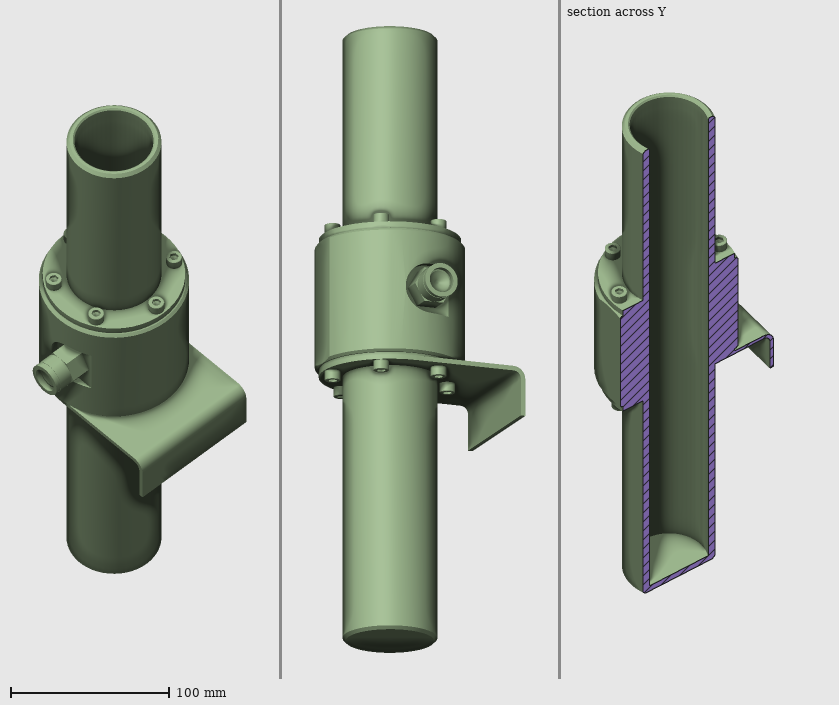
import cadquery as cq
import math

HEXAGON_SIDES = 6

PIPE_DIAMETER = 60.0
PIPE_LENGTH = 395.0
PIPE_CHAMFER = 2.0
BORE_CHAMFER = 1.0
BORE_DIAMETER = 50.0
FLOOR_THICKNESS = (PIPE_DIAMETER - BORE_DIAMETER) / 2

HOUSING_DIAMETER = 95.0
HOUSING_HEIGHT = 81.0
HOUSING_MID_Z = 217.5
HOUSING_CHAMFER = 1.6
HOUSING_FLAT_X = -46.0
FLANGE_DIAMETER = 90.0
FLANGE_THICKNESS = 4.5
HOUSING_BOTTOM_Z = HOUSING_MID_Z - HOUSING_HEIGHT / 2
FLANGE_BOTTOM_Z = HOUSING_BOTTOM_Z - FLANGE_THICKNESS
FLANGE_TOP_Z = HOUSING_MID_Z + HOUSING_HEIGHT / 2 + FLANGE_THICKNESS

SCREW_COUNT = 6
SCREW_CIRCLE_DIAMETER = 78.0
HEAD_DIAMETER = 10.0
HEAD_HEIGHT = 6.0
HEAD_CHAMFER = 0.3
SOCKET_ACROSS_CORNERS = 6.0
SOCKET_DEPTH = 2.0
SOCKET_POINT_DIAMETER = 4.0
SOCKET_POINT_DEPTH = 1.0

BRACKET_THICKNESS = 3.0
BRACKET_WIDTH = FLANGE_DIAMETER
BRACKET_END_X = 74.0
BRACKET_DROP = 32.0
BEND_INNER_RADIUS = 5.0
BRACKET_TOP_Z = FLANGE_BOTTOM_Z + BRACKET_THICKNESS

GLAND_X = 8.0
GLAND_Z = 220.0
SPOT_FACE_DIAMETER = 32.0
SPOT_FACE_Y = -41.5
GLAND_HEX_ACROSS_FLATS = 22.0
GLAND_HEX_ACROSS_CORNERS = GLAND_HEX_ACROSS_FLATS / math.cos(math.pi / HEXAGON_SIDES)
GLAND_HEX_END_Y = -54.67
GLAND_DIAMETER = 22.0
GLAND_END_Y = -67.67
GLAND_GROOVE_Y = GLAND_END_Y + 4.0
GLAND_GROOVE_WIDTH = 2.0
GLAND_GROOVE_DEPTH = 0.3
GLAND_MOUTH_DIAMETER = 16.0
GLAND_MOUTH_DEPTH = 4.0
GLAND_CONE_DIAMETER = 14.0
GLAND_CONE_DEPTH = 4.0


def cylinder(diameter, height, z):
    return cq.Workplane("XY").workplane(offset=z).circle(diameter / 2).extrude(height)


def cone(base_radius, top_radius, height, base, direction):
    return cq.Workplane(
        cq.Solid.makeCone(base_radius, top_radius, height, cq.Vector(*base), cq.Vector(*direction))
    )


def make_pipe():
    pipe = cylinder(PIPE_DIAMETER, PIPE_LENGTH, 0)
    return pipe.faces("<Z or >Z").chamfer(PIPE_CHAMFER)


def make_housing():
    drum = cylinder(HOUSING_DIAMETER, HOUSING_HEIGHT, HOUSING_BOTTOM_Z)
    drum = drum.faces("<Z or >Z").chamfer(HOUSING_CHAMFER)
    flat_cut = (
        cq.Workplane("XY")
        .box(HOUSING_DIAMETER, HOUSING_DIAMETER, PIPE_LENGTH, centered=(False, True, False))
        .translate((HOUSING_FLAT_X - HOUSING_DIAMETER, 0, 0))
    )
    flanges = cylinder(FLANGE_DIAMETER, FLANGE_TOP_Z - BRACKET_TOP_Z, BRACKET_TOP_Z)
    return drum.cut(flat_cut).union(flanges)


def make_bracket():
    """Bent sheet from the pipe axis to +X, rounded on -X by a disc under the flange."""
    outer_radius = BEND_INNER_RADIUS + BRACKET_THICKNESS
    leg_bottom_z = BRACKET_TOP_Z - BRACKET_DROP
    sheet = (
        cq.Workplane("XZ")
        .moveTo(0, BRACKET_TOP_Z)
        .lineTo(BRACKET_END_X - outer_radius, BRACKET_TOP_Z)
        .radiusArc((BRACKET_END_X, BRACKET_TOP_Z - outer_radius), outer_radius)
        .lineTo(BRACKET_END_X, leg_bottom_z)
        .lineTo(BRACKET_END_X - BRACKET_THICKNESS, leg_bottom_z)
        .lineTo(BRACKET_END_X - BRACKET_THICKNESS, BRACKET_TOP_Z - outer_radius)
        .radiusArc((BRACKET_END_X - outer_radius, FLANGE_BOTTOM_Z), -BEND_INNER_RADIUS)
        .lineTo(0, FLANGE_BOTTOM_Z)
        .close()
        .extrude(BRACKET_WIDTH / 2, both=True)
    )
    disc = cylinder(BRACKET_WIDTH, BRACKET_THICKNESS, FLANGE_BOTTOM_Z)
    return sheet.union(disc)


def make_screw_head():
    """Screw head standing on Z = 0 with its hexagon socket on top."""
    head = cylinder(HEAD_DIAMETER, HEAD_HEIGHT, 0).faces(">Z").chamfer(HEAD_CHAMFER)
    socket = (
        cq.Workplane("XY")
        .workplane(offset=HEAD_HEIGHT - SOCKET_DEPTH)
        .polygon(HEXAGON_SIDES, SOCKET_ACROSS_CORNERS)
        .extrude(SOCKET_DEPTH)
    )
    point_z = HEAD_HEIGHT - SOCKET_DEPTH
    point = cone(SOCKET_POINT_DIAMETER / 2, 0, SOCKET_POINT_DEPTH, (0, 0, point_z), (0, 0, -1))
    return head.cut(socket).cut(point)


def add_screws(part):
    upper_head = make_screw_head().translate((SCREW_CIRCLE_DIAMETER / 2, 0, FLANGE_TOP_Z))
    lower_head = upper_head.mirror("XY", (0, 0, (FLANGE_TOP_Z + FLANGE_BOTTOM_Z) / 2))
    for index in range(SCREW_COUNT):
        angle = index * 360 / SCREW_COUNT
        for head in (upper_head, lower_head):
            part = part.union(head.rotate((0, 0, 0), (0, 0, 1), angle))
    return part


def gland_plane(y):
    """Plane across the gland axis at Y = y, facing -Y."""
    return cq.Workplane("XZ", origin=(GLAND_X, y, GLAND_Z))


def cut_spot_face(part):
    """Flat for the gland: half round on -X, running straight out of the drum on +X."""
    round_side = gland_plane(SPOT_FACE_Y).circle(SPOT_FACE_DIAMETER / 2).extrude(HOUSING_DIAMETER)
    open_side = (
        gland_plane(SPOT_FACE_Y)
        .rect(SPOT_FACE_DIAMETER, SPOT_FACE_DIAMETER)
        .extrude(HOUSING_DIAMETER)
        .translate((SPOT_FACE_DIAMETER / 2, 0, 0))
    )
    return part.cut(round_side.union(open_side))


def make_gland():
    nut = (
        gland_plane(SPOT_FACE_Y)
        .polygon(HEXAGON_SIDES, GLAND_HEX_ACROSS_CORNERS)
        .extrude(SPOT_FACE_Y - GLAND_HEX_END_Y)
    )
    cap_length = GLAND_HEX_END_Y - GLAND_END_Y
    cap = gland_plane(GLAND_HEX_END_Y).circle(GLAND_DIAMETER / 2).extrude(cap_length)
    mouth_floor_y = GLAND_END_Y + GLAND_MOUTH_DEPTH
    mouth = gland_plane(mouth_floor_y).circle(GLAND_MOUTH_DIAMETER / 2).extrude(GLAND_MOUTH_DEPTH)
    cone_base = (GLAND_X, mouth_floor_y, GLAND_Z)
    mouth_cone = cone(GLAND_CONE_DIAMETER / 2, 0, GLAND_CONE_DEPTH, cone_base, (0, 1, 0))
    groove = (
        gland_plane(GLAND_GROOVE_Y)
        .circle(GLAND_DIAMETER)
        .circle(GLAND_DIAMETER / 2 - GLAND_GROOVE_DEPTH)
        .extrude(GLAND_GROOVE_WIDTH)
    )
    return nut.union(cap).cut(mouth).cut(mouth_cone).cut(groove)


def make_bore():
    """Blind bore from the top of the pipe with a chamfered rim."""
    bore = cylinder(BORE_DIAMETER, PIPE_LENGTH - FLOOR_THICKNESS, FLOOR_THICKNESS)
    rim_base = (0, 0, PIPE_LENGTH - BORE_CHAMFER)
    rim_radius = BORE_DIAMETER / 2 + BORE_CHAMFER
    rim = cone(BORE_DIAMETER / 2, rim_radius, BORE_CHAMFER, rim_base, (0, 0, 1))
    return bore.union(rim)


housing = cut_spot_face(make_housing())
body = housing.union(make_bracket()).union(make_pipe()).union(make_gland())
result = add_screws(body).cut(make_bore())